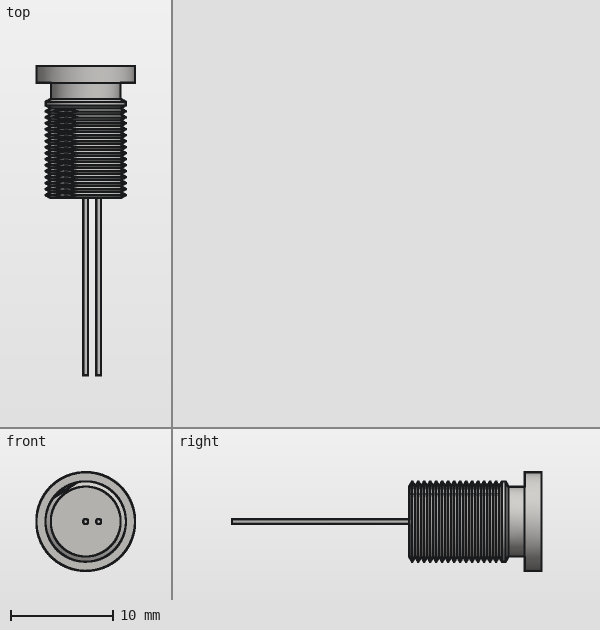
import cadquery as cq


total_length = 30.3

head_thickness = 1.67
neck_length = 1.58
ridge_count = 15
ridged_length = 8.78
ridge_pitch = ridged_length / ridge_count
ridge_flank = ridge_pitch / 2
collar_land = 0.33
collar_length = collar_land + 2 * ridge_flank
housing_length = ridged_length + collar_length + neck_length + head_thickness

head_radius = 9.7 / 2
neck_radius = 6.85 / 2
crest_radius = 7.88 / 2

flat_distance = 3.65
flat_angle = 123.0

lead_radius = 0.248
lead_spacing = 1.27
lead_count = 2
lead_length = total_length - housing_length


def make_housing():
    """Turn the ridged barrel, collar, neck and head, then trim the ridge crests."""
    profile = cq.Workplane("XY").lineTo(neck_radius, 0)

    for index in range(ridge_count):
        ridge_start = index * ridge_pitch
        profile = profile.lineTo(crest_radius, ridge_start + ridge_flank)
        profile = profile.lineTo(neck_radius, ridge_start + ridge_pitch)

    collar_end = ridged_length + collar_length
    profile = profile.lineTo(crest_radius, ridged_length + ridge_flank)
    profile = profile.lineTo(crest_radius, collar_end - ridge_flank)
    profile = profile.lineTo(neck_radius, collar_end)

    head_start = collar_end + neck_length
    profile = profile.lineTo(neck_radius, head_start)
    profile = profile.lineTo(head_radius, head_start)
    profile = profile.lineTo(head_radius, housing_length)
    profile = profile.lineTo(0, housing_length).close()
    turned = profile.revolve(360, (0, 0, 0), (0, 1, 0))

    return turned.cut(make_flat_cutter()).solids()


def make_flat_cutter():
    """Block outside the flat, covering the ridges but not the collar."""
    cutter = cq.Workplane("XY").box(
        crest_radius, ridged_length, 2 * crest_radius, centered=(False, False, True)
    )
    cutter = cutter.translate((flat_distance, 0, 0))
    return cutter.rotate((0, 0, 0), (0, 1, 0), -flat_angle)


def make_lead(x_position):
    """Straight round lead from the housing end face toward -Y."""
    lead = cq.Workplane("XZ").center(x_position, 0).circle(lead_radius)
    return lead.extrude(lead_length)


housing = make_housing()
leads = [make_lead(index * lead_spacing) for index in range(lead_count)]

result = cq.Compound.makeCompound([housing.val(), *[lead.val() for lead in leads]])